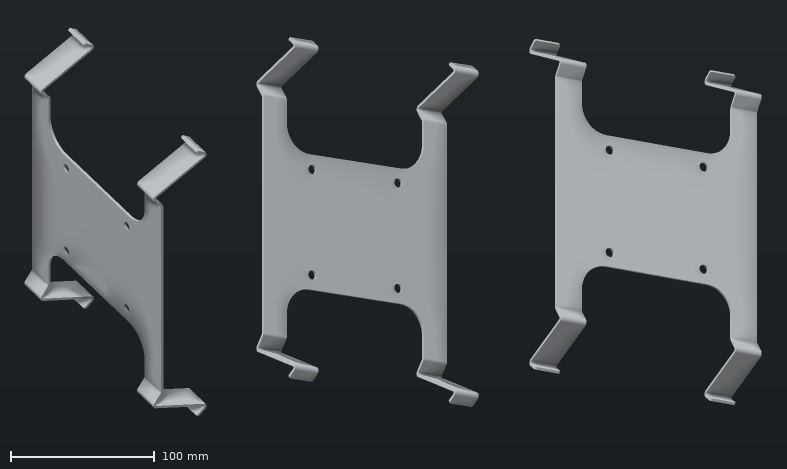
import cadquery as cq
import math

width = 160.0
depth = 44.5
height = 242.5

thickness = 2.0
half_thickness = thickness / 2
inner_bend_radius = 1.0
outer_bend_radius = inner_bend_radius + thickness

plate_offset = 7.3
plate_bend_z = 84.9
crest_centre_z = 93.8
toe_centre_z = 114.5
lip_angle = 36.0
lip_corner_radius = 1.5

leg_width = 20.4
web_height = 96.0
web_corner_radius = 20.0

hole_diameter = 6.5
hole_spacing = 75.0


def along(point, angle, distance):
    """Point at a distance from another, in the direction of an angle in the YZ plane."""
    return (point[0] + distance * math.cos(angle), point[1] + distance * math.sin(angle))


def line_crossing(point_a, angle_a, point_b, angle_b):
    """Crossing of two lines, each given by a point and a direction angle."""
    dy = point_b[0] - point_a[0]
    dz = point_b[1] - point_a[1]
    distance = (dy * math.sin(angle_b) - dz * math.cos(angle_b)) / math.sin(angle_b - angle_a)
    return along(point_a, angle_a, distance)


def hook_centreline():
    """Sharp-cornered sheet mid-line of the upper half: plate, shank, arm and lip."""
    mid_radius = inner_bend_radius + half_thickness
    quarter = math.pi / 2
    crest_centre = (outer_bend_radius - plate_offset, crest_centre_z)
    toe_centre = (depth - plate_offset - outer_bend_radius, toe_centre_z)
    plate_bend = (0, plate_bend_z)

    dy = crest_centre[0] - plate_bend[0]
    dz = crest_centre[1] - plate_bend[1]
    shank_angle = math.atan2(dz, dy) + math.asin(mid_radius / math.hypot(dy, dz))

    dy = toe_centre[0] - crest_centre[0]
    dz = toe_centre[1] - crest_centre[1]
    arm_angle = math.atan2(dz, dy) - math.asin(2 * mid_radius / math.hypot(dy, dz))
    arm_start = along(crest_centre, arm_angle + quarter, mid_radius)

    lip_direction = math.pi - math.radians(lip_angle)
    lip_start = along(toe_centre, lip_direction - quarter, mid_radius)
    tip_z = height / 2 - half_thickness * math.cos(math.radians(lip_angle))
    lip_length = (tip_z - lip_start[1]) / math.sin(lip_direction)

    crest = line_crossing(plate_bend, shank_angle, arm_start, arm_angle)
    toe = line_crossing(arm_start, arm_angle, lip_start, lip_direction)
    tip = along(lip_start, lip_direction, lip_length)
    return [plate_bend, crest, toe, tip]


def offset_side(path, distance):
    """Mitred copy of an open path, moved to its left by a distance."""
    angles = [math.atan2(b[1] - a[1], b[0] - a[0]) for a, b in zip(path, path[1:])]
    points = [along(path[0], angles[0] + math.pi / 2, distance)]
    for point, before, after in zip(path[1:], angles, angles[1:]):
        half_turn = math.remainder(after - before, 2 * math.pi) / 2
        points.append(along(point, before + half_turn + math.pi / 2, distance / math.cos(half_turn)))
    points.append(along(path[-1], angles[-1] + math.pi / 2, distance))
    return points


def bent_sheet():
    """Full-width sheet with rounded bends."""
    upper = hook_centreline()
    path = [(y, -z) for y, z in reversed(upper)] + upper
    left = offset_side(path, half_thickness)
    right = offset_side(path, -half_thickness)
    sheet = (
        cq.Workplane("YZ")
        .polyline(left + right[::-1])
        .close()
        .extrude(width / 2, both=True)
    )
    crest_bends = (2, 5)
    for i, (bend_left, bend_right) in enumerate(zip(left, right)):
        if i in (0, len(path) - 1):
            continue
        if i in crest_bends:
            inner, outer = bend_right, bend_left
        else:
            inner, outer = bend_left, bend_right
        for (y, z), radius in ((inner, inner_bend_radius), (outer, outer_bend_radius)):
            edge = cq.selectors.NearestToPointSelector((0, y, z))
            sheet = sheet.edges("|X").edges(edge).fillet(radius)
    return sheet


def leg_gaps():
    """Openings above and below the web, with rounded inner corners."""
    gap_width = width - 2 * leg_width
    gap_height = height / 2
    gap_centre_z = (web_height + gap_height) / 2
    gap = (
        cq.Workplane("XY")
        .box(gap_width, 2 * depth, gap_height)
        .edges("|Y and <Z")
        .fillet(web_corner_radius)
        .translate((0, 0, gap_centre_z))
    )
    return gap.union(gap.mirror("XY"))


def mounting_holes():
    """Square pattern of holes through the plate."""
    return (
        cq.Workplane("XZ")
        .rect(hole_spacing, hole_spacing, forConstruction=True)
        .vertices()
        .circle(hole_diameter / 2)
        .extrude(depth, both=True)
    )


def round_lip_corners(part):
    """Round the free corners of all four lips."""
    tip_y, tip_z = hook_centreline()[-1]
    leg_sides = (width / 2, width / 2 - leg_width)
    corners = [
        (side * x, tip_y, end * tip_z)
        for side in (-1, 1)
        for end in (-1, 1)
        for x in leg_sides
    ]
    for corner in corners:
        edge = cq.selectors.NearestToPointSelector(corner)
        part = part.edges(edge).fillet(lip_corner_radius)
    return part


sheet = bent_sheet().cut(leg_gaps()).cut(mounting_holes())
result = round_lip_corners(sheet)